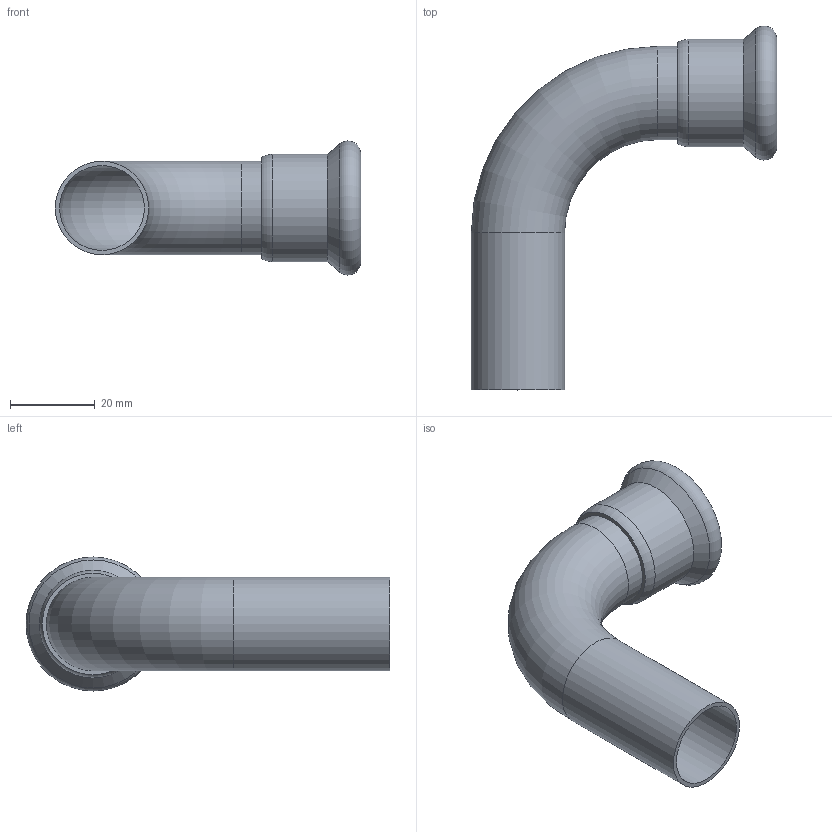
import math

import cadquery as cq

tube_radius = 11.0
wall = 1.0
bend_radius = 33.0
spigot_length = 37.0
socket_leg_length = 28.0

collar_radius = 12.65
collar_start = 4.65
nose_length = 2.6
nose_drop = 0.7

bead_outer_radius = 15.8
bead_round = 3.0
flare_angle = math.radians(40)

bore_radius = tube_radius - wall
spigot_end = -bend_radius - spigot_length
mouth = bend_radius + socket_leg_length


def elbow(radius):
    """Solid rod of the given radius along both legs and the bend."""
    spigot = (
        cq.Workplane("XZ", origin=(0, spigot_end, 0))
        .circle(radius)
        .extrude(-spigot_length)
    )
    bend = (
        cq.Workplane("XZ", origin=(0, -bend_radius, 0))
        .circle(radius)
        .revolve(90, (bend_radius, 1, 0), (bend_radius, -1, 0))
    )
    socket_leg = (
        cq.Workplane("YZ", origin=(bend_radius, 0, 0))
        .circle(radius)
        .extrude(socket_leg_length)
    )
    return spigot.union(bend).union(socket_leg)


def collar():
    """Solid of revolution about X: rounded nose, sleeve, flare and bead."""
    start = bend_radius + collar_start
    sleeve_start = start + nose_length

    nose_round = (nose_length**2 + nose_drop**2) / (2 * nose_drop)
    nose_half_angle = math.asin(nose_length / nose_round) / 2
    nose_middle = (
        sleeve_start - nose_round * math.sin(nose_half_angle),
        collar_radius - nose_round * (1 - math.cos(nose_half_angle)),
    )

    bead_x = mouth - bead_round
    bead_r = bead_outer_radius - bead_round
    flare_end_x = bead_x - bead_round * math.sin(flare_angle)
    flare_end_r = bead_r + bead_round * math.cos(flare_angle)
    flare_start_x = flare_end_x - (flare_end_r - collar_radius) / math.tan(flare_angle)

    return (
        cq.Workplane("XY")
        .moveTo(start, 0)
        .lineTo(start, collar_radius - nose_drop)
        .threePointArc(nose_middle, (sleeve_start, collar_radius))
        .lineTo(flare_start_x, collar_radius)
        .lineTo(flare_end_x, flare_end_r)
        .threePointArc((bead_x, bead_outer_radius), (mouth, bead_r))
        .lineTo(mouth, 0)
        .close()
        .revolve(360, (0, 0, 0), (1, 0, 0))
    )


result = elbow(tube_radius).union(collar()).cut(elbow(bore_radius))